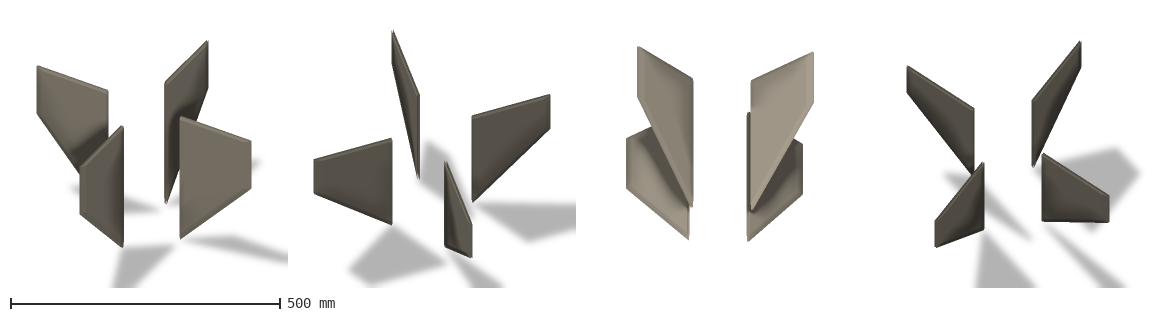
import cadquery as cq
import math

tip_radius = 231.0
root_radius = 78.5
height = 284.0
tip_height = 110.5
fin_count = 4

half_gap = 1.55
skin_thickness = 1.65

top_bevel = 6.0
tip_bevel = 15.2
sweep_bevel = 10.0

span = tip_radius - root_radius
sweep_drop = height - tip_height
sweep_slope = sweep_drop / span
sweep_rise = sweep_bevel * math.hypot(1, sweep_slope)


def sweep_z(radius):
    """Height of the swept lower edge at a distance from the axis."""
    return sweep_slope * (radius - root_radius)


def polygon_face(points):
    """Flat face through 3D points."""
    wire = cq.Wire.makePolygon([cq.Vector(*point) for point in points], close=True)
    return cq.Face.makeFromWires(wire)


def make_skin():
    """One skin on the +X fin, on its -Y side, with a flat inner face and a smaller flat outer face."""
    inner_y = -half_gap
    outer_y = inner_y - skin_thickness
    flat_tip = tip_radius - tip_bevel
    flat_top = height - top_bevel
    inner = [
        (root_radius, inner_y, 0),
        (tip_radius, inner_y, sweep_drop),
        (tip_radius, inner_y, height),
        (root_radius, inner_y, height),
    ]
    outer = [
        (root_radius, outer_y, sweep_rise),
        (flat_tip, outer_y, sweep_z(flat_tip) + sweep_rise),
        (flat_tip, outer_y, flat_top),
        (root_radius, outer_y, flat_top),
    ]
    faces = [polygon_face(inner), polygon_face(outer)]
    for start in range(len(inner)):
        end = (start + 1) % len(inner)
        faces.append(polygon_face([inner[start], inner[end], outer[end], outer[start]]))
    return cq.Workplane(cq.Solid.makeSolid(cq.Shell.makeShell(faces)))


skin = make_skin()
mirrored_skin = skin.mirror("XZ")

skins = []
for index in range(fin_count):
    angle = index * 360 / fin_count
    for side in (skin, mirrored_skin):
        skins.append(side.rotate((0, 0, 0), (0, 0, 1), angle).val())

result = cq.Compound.makeCompound(skins)